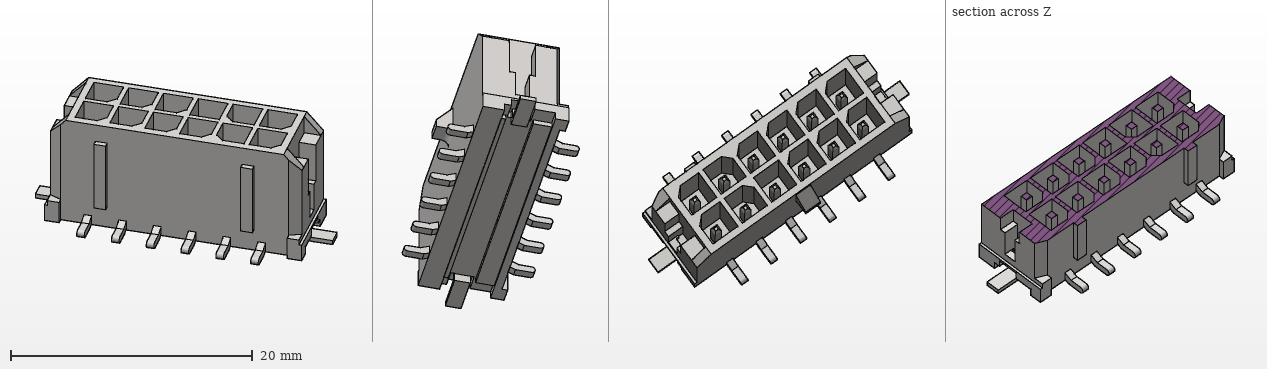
import cadquery as cq
import math


pitch = 3.0
columns = 6
row_y = pitch / 2

body_half_x = 10.85
body_half_y = 3.43
body_bottom = 0.10
body_top = 9.96
top_half_x = 9.40
shoulder_z = 8.36
corner_x = 1.02
corner_y = 0.47

flange_half_x = 11.09
flange_top = 1.635
front_y = -3.91
foot_top = 2.10

rib_width = 1.02
rib_x = 6.33

window_y = (-2.41, 2.65)
upper_slot_half = 1.12
upper_slot_bottom = 4.83
lower_slot_half = 0.59
floor_z = 2.33

cavity_size = 2.56
cavity_key = 0.68
left_key_column = 4
plain_cavity = (3, 1)
cavity_shift_y = 0.04

contact_width = 0.66
contact_tip_width = 0.28
contact_tip_height = 0.60
contact_top = 7.0
tail_end_y = 5.60
tail_thickness = 0.64
tail_bend_y = 4.18
tail_bend_under_y = 3.90
tail_slope = 0.45
tail_root_y = 2.90

latch_half_width = 0.75
latch_y = 4.83
latch_top = 9.44
latch_nose_top = 7.82
latch_bottom = 7.05
latch_fillet = 0.65

recess_y = (-2.75, 1.59)
recess_z = 0.33
channel_half = 1.175
channel_z = 0.78
notch_inner_x = body_half_x - corner_x
nail_slot_half = 1.0
nail_slot_top = 1.42

nail_tip_x = 12.825
nail_inner_x = 9.65
nail_half_width = 0.67
nail_thickness = 0.40

well_step_x = 9.88
well_outer_x = 10.16
well_neck_half = 0.45
well_bottom = flange_top


def box(x_range, y_range, z_range):
    """Axis-aligned box between the given limits."""
    size = [high - low for low, high in (x_range, y_range, z_range)]
    corner = (x_range[0], y_range[0], z_range[0])
    return cq.Workplane("XY").box(*size, centered=False).translate(corner)


def both_ends(shape):
    """The given +X end feature together with its -X twin."""
    return shape.union(shape.mirror("YZ"))


def make_body():
    end_profile = [
        (-body_half_x, body_bottom),
        (body_half_x, body_bottom),
        (body_half_x, shoulder_z),
        (top_half_x, body_top),
        (-top_half_x, body_top),
        (-body_half_x, shoulder_z),
    ]
    body = cq.Workplane("XZ").polyline(end_profile).close().extrude(body_half_y, both=True)
    bevel_profile = [
        (body_half_x - corner_x, -body_half_y),
        (body_half_x, -body_half_y),
        (body_half_x, -body_half_y + corner_y),
    ]
    bevel = cq.Workplane("XY").polyline(bevel_profile).close().extrude(body_top)
    return body.cut(both_ends(bevel))


def make_end_blocks():
    flange = box((body_half_x, flange_half_x), (front_y, body_half_y), (body_bottom, flange_top))
    foot = box(
        (body_half_x - corner_x, body_half_x),
        (front_y, -body_half_y + corner_y),
        (body_bottom, foot_top),
    )
    return both_ends(flange.union(foot))


def make_ribs():
    x_range = (rib_x - rib_width / 2, rib_x + rib_width / 2)
    return both_ends(box(x_range, (front_y, -body_half_y), (foot_top, shoulder_z)))


def make_latch():
    half_chord = latch_fillet * math.sin(math.pi / 4)
    fillet_y = body_half_y + latch_fillet
    fillet_z = latch_bottom - latch_fillet
    profile = (
        cq.Workplane("YZ")
        .moveTo(body_half_y, latch_top)
        .lineTo(latch_y, latch_nose_top)
        .lineTo(latch_y, latch_bottom)
        .lineTo(fillet_y, latch_bottom)
        .threePointArc((fillet_y - half_chord, fillet_z + half_chord), (body_half_y, fillet_z))
        .close()
    )
    return profile.extrude(latch_half_width, both=True)


def make_end_openings():
    x_range = (top_half_x, body_half_x)
    openings = box(x_range, window_y, (shoulder_z, body_top))
    upper_y = (-upper_slot_half, upper_slot_half)
    openings = openings.union(box(x_range, upper_y, (upper_slot_bottom, shoulder_z)))
    lower_y = (-lower_slot_half, lower_slot_half)
    openings = openings.union(box(x_range, lower_y, (floor_z, upper_slot_bottom)))
    well_z = (well_bottom, floor_z)
    neck_y = (-well_neck_half, well_neck_half)
    openings = openings.union(box((top_half_x, well_step_x), lower_y, well_z))
    openings = openings.union(box((well_step_x, well_outer_x), neck_y, well_z))
    return both_ends(openings)


def make_underside_cuts():
    full_x = (-flange_half_x, flange_half_x)
    cuts = box(full_x, recess_y, (body_bottom, recess_z))
    cuts = cuts.union(box(full_x, (-channel_half, channel_half), (body_bottom, channel_z)))
    notch = box((notch_inner_x, flange_half_x), recess_y, (body_bottom, channel_z))
    nail_slot = box(
        (nail_inner_x, flange_half_x),
        (-nail_slot_half, nail_slot_half),
        (body_bottom, nail_slot_top),
    )
    return cuts.union(both_ends(notch.union(nail_slot)))


def key_side(column, row):
    """Side of a cavity's beveled -Y corner: +1 or -1 along X, 0 for a plain square."""
    if column == left_key_column:
        return -1
    if (column, row) == plain_cavity:
        return 0
    return 1


def make_cavity(side):
    half = cavity_size / 2
    if side == 0:
        outline = cq.Workplane("XY").rect(cavity_size, cavity_size)
    else:
        points = [
            (-side * half, -half),
            (side * (half - cavity_key), -half),
            (side * half, -half + cavity_key),
            (side * half, half),
            (-side * half, half),
        ]
        outline = cq.Workplane("XY").polyline(points).close()
    return outline.extrude(body_top - floor_z)


def make_post():
    straight_height = contact_top - contact_tip_height - floor_z
    post = cq.Workplane("XY").rect(contact_width, contact_width).extrude(straight_height)
    tip = (
        cq.Workplane("XY", origin=(0, 0, straight_height))
        .rect(contact_width, contact_width)
        .workplane(offset=contact_tip_height)
        .rect(contact_tip_width, contact_tip_width)
        .loft()
    )
    return post.union(tip)


def make_tail():
    """Solder tail of the +Y row, with a rounded end and a sloped root."""
    radius = tail_thickness / 2
    round_y = tail_end_y - radius
    root_top = tail_thickness + (tail_bend_y - tail_root_y) * tail_slope
    root_bottom = (tail_bend_under_y - tail_root_y) * tail_slope
    profile = (
        cq.Workplane("YZ")
        .moveTo(tail_root_y, root_bottom)
        .lineTo(tail_bend_under_y, 0)
        .lineTo(round_y, 0)
        .threePointArc((tail_end_y, radius), (round_y, tail_thickness))
        .lineTo(tail_bend_y, tail_thickness)
        .lineTo(tail_root_y, root_top)
        .close()
    )
    return profile.extrude(contact_width / 2, both=True)


def make_nails():
    y_range = (-nail_half_width, nail_half_width)
    tab = box((nail_inner_x, nail_tip_x), y_range, (0, nail_thickness))
    arm = box((nail_inner_x, nail_inner_x + nail_thickness), y_range, (0, nail_slot_top))
    return both_ends(tab.union(arm))


result = make_body().union(make_end_blocks()).union(make_ribs()).union(make_latch())
result = result.cut(make_end_openings()).cut(make_underside_cuts())

post = make_post()
back_tail = make_tail()
tails = {1: back_tail, -1: back_tail.mirror("XZ")}

for column in range(columns):
    x = (column - (columns - 1) / 2) * pitch
    for row, tail in tails.items():
        y = row * row_y
        cavity = make_cavity(key_side(column, row))
        result = result.cut(cavity.translate((x, y + cavity_shift_y, floor_z)))
        result = result.union(post.translate((x, y, floor_z)))
        result = result.union(tail.translate((x, 0, 0)))

result = result.union(make_nails())